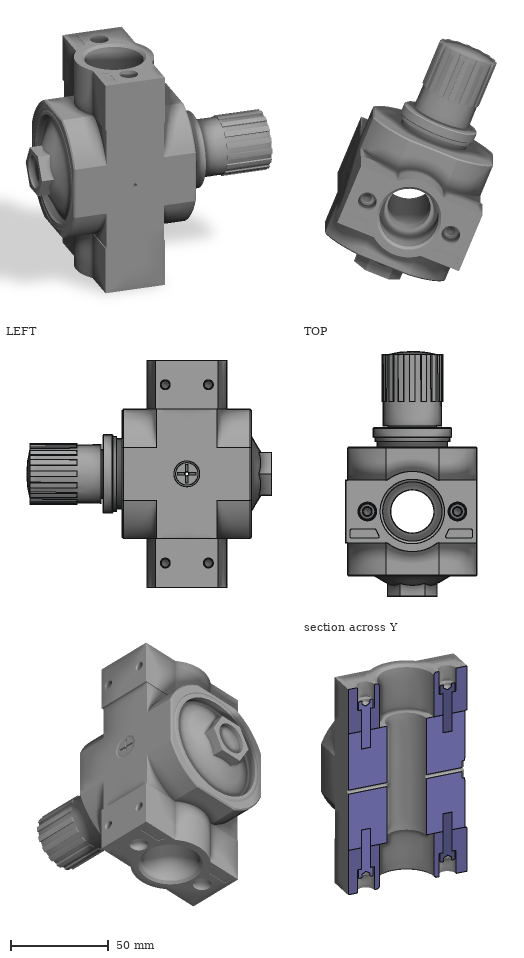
import cadquery as cq
import math


body_half = 33.0
block_half_depth = 15.5
drum_radius = 35.65
drum_chamfer = 0.7
bore_diameter = 22.0

port_diameter = 13.16
port_floor_diameter = 11.45
port_depth = 0.3
bleed_diameter = 2.0
slot_length = 9.4
slot_width = 1.2
slot_depth = 1.5

flange_thickness = 25.0
flange_top = body_half + flange_thickness
flange_left = -34.1
flange_right = body_half
flange_half_depth = 16.0
flange_boss_radius = 20.5
thread_diameter = 30.29
thread_mouth_diameter = 32.9
side_hole_y = 11.0
side_hole_diameter = 4.2
side_hole_mouth = 5.0
side_hole_depth = 10.0
drill_point_angle = 118.0

panel_depth = 0.2
panel_edge_inset = 2.3
panel_inner_x = 16.5
panel_slant = 2.2
panel_front_y = -13.5
panel_back_y = -9.0
panel_corner_radius = 0.8

screw_x = 23.0
screw_hole_diameter = 9.5
screw_head_diameter = 8.5
screw_head_height = 5.0
screw_head_chamfer = 0.4
screw_recess = 8.0
screw_shank_diameter = 5.0
screw_engagement = 10.0
socket_diameter = 4.2
socket_mouth = 5.0
socket_depth = 2.0

cap_radius = 30.6
cap_rim_outer_radius = 29.7
cap_rim_inner_radius = 28.1
cap_rim_chamfer_depth = 0.3
cap_seat_chamfer = 0.3
cap_back_y = -24.0
cone_slope = math.tan(math.radians(30))
cone_fillet = 0.8
hex_across_flats = 22.0
hex_end_y = -43.3
cone_y_at_hex_flat = -37.7
hex_hole_diameter = 17.0
hex_hole_depth = 3.5
hex_hole_fillet = 1.0

neck_radius = 18.0
neck_end_y = 35.8
spigot_diameter = 34.16
nut_bore_diameter = 34.38
nut_collar_radius = 19.2
nut_collar_end_y = 37.7
nut_radius = 20.0
nut_end_y = 42.9
nut_chamfer = 0.45
stem_diameter = 24.9
stem_end_y = 56.0
knob_start_y = 43.75
knob_shoulder_y = 80.1
knob_end_y = 81.7
knob_base_radius = 15.0
knob_shoulder_radius = 14.6
knob_dome_radius = 12.5
rib_count = 16
rib_start_y = 56.1
rib_width = 2.85
rib_tip_radius = 15.6


def cylinder_y(radius, y_start, y_end):
    """Cylinder about the Y axis between two Y positions."""
    return cq.Workplane("XZ", origin=(0, y_start, 0)).circle(radius).extrude(y_start - y_end)


def revolve_y(profile):
    """Turn a profile drawn as (radius, y) about the Y axis."""
    return profile.close().revolve(360, (0, 0, 0), (0, 1, 0))


def drilled_hole(diameter, mouth, depth):
    """Cutter for a blind hole down -Z with a 45 degree mouth chamfer and a drill point."""
    radius = diameter / 2
    mouth_radius = mouth / 2
    point = radius / math.tan(math.radians(drill_point_angle / 2))
    return (
        cq.Workplane("XZ")
        .lineTo(mouth_radius, 0)
        .lineTo(radius, radius - mouth_radius)
        .lineTo(radius, -depth)
        .lineTo(0, -depth - point)
        .close()
        .revolve(360, (0, 0, 0), (0, 1, 0))
    )


def make_gauge_port():
    """Cutter for the shallow conical port, its cross slots and the bleed hole along X."""
    side = -body_half
    floor = side + port_depth
    port = (
        cq.Workplane("YZ", origin=(side, 0, 0))
        .circle(port_diameter / 2)
        .workplane(offset=port_depth)
        .circle(port_floor_diameter / 2)
        .loft(ruled=True)
    )
    slots = cq.Workplane("YZ", origin=(floor, 0, 0)).rect(slot_length, slot_width).extrude(slot_depth)
    slots = slots.union(slots.rotate((0, 0, 0), (1, 0, 0), 90))
    bleed = cq.Workplane("YZ", origin=(side, 0, 0)).circle(bleed_diameter / 2).extrude(2 * body_half)
    return port.union(slots).union(bleed)


def make_housing():
    width = 2 * body_half
    block = cq.Workplane("XY").box(width, 2 * block_half_depth, width)
    drum = cylinder_y(drum_radius, -body_half, body_half)
    drum = drum.intersect(cq.Workplane("XY").box(width, width, width))
    drum = drum.faces("<Y or >Y").edges().chamfer(drum_chamfer)
    housing = block.union(drum)

    housing = housing.union(cylinder_y(neck_radius, body_half, neck_end_y))
    housing = housing.union(cylinder_y(spigot_diameter / 2, neck_end_y, nut_end_y))
    housing = housing.union(cylinder_y(stem_diameter / 2, nut_end_y, stem_end_y))

    housing = housing.cut(cylinder_y(cap_radius, -body_half, cap_back_y))
    seat_mouth = revolve_y(
        cq.Workplane("XY")
        .moveTo(0, -body_half)
        .lineTo(cap_radius + cap_seat_chamfer, -body_half)
        .lineTo(cap_radius, cap_seat_chamfer - body_half)
        .lineTo(0, cap_seat_chamfer - body_half)
    )
    housing = housing.cut(seat_mouth)

    bore = cq.Workplane("XY").circle(bore_diameter / 2).extrude(body_half, both=True)
    housing = housing.cut(bore).cut(make_gauge_port())
    screw_holes = (
        cq.Workplane("XY")
        .pushPoints([(-screw_x, 0), (screw_x, 0)])
        .circle(screw_shank_diameter / 2)
        .extrude(screw_engagement)
    )
    for start in (body_half - screw_engagement, -body_half):
        housing = housing.cut(screw_holes.translate((0, 0, start)))
    return housing


def make_label_panel(outer_x, side):
    """Cutter for one panel; side is -1 or +1 and tells where the panel lies from the bore."""
    inner_x = side * panel_inner_x
    return (
        cq.Workplane("XY", origin=(0, 0, flange_top - panel_depth))
        .moveTo(outer_x, panel_front_y)
        .lineTo(outer_x, panel_back_y)
        .lineTo(inner_x + side * panel_slant, panel_back_y)
        .lineTo(inner_x, panel_front_y)
        .close()
        .extrude(panel_depth)
        .edges("|Z")
        .fillet(panel_corner_radius)
    )


def make_flange():
    """Upper flange, resting on the top of the housing."""
    base = cq.Workplane("XY", origin=(0, 0, body_half))
    plate = base.center((flange_left + flange_right) / 2, 0)
    plate = plate.rect(flange_right - flange_left, 2 * flange_half_depth).extrude(flange_thickness)
    flange = plate.union(base.circle(flange_boss_radius).extrude(flange_thickness))

    flange = flange.cut(base.circle(thread_diameter / 2).extrude(flange_thickness))
    mouth_chamfer = (thread_mouth_diameter - thread_diameter) / 2
    flange = flange.edges(cq.selectors.RadiusNthSelector(0)).edges(">Z").chamfer(mouth_chamfer)

    screws = base.pushPoints([(-screw_x, 0), (screw_x, 0)])
    flange = flange.cut(screws.circle(screw_shank_diameter / 2).extrude(flange_thickness))
    seat_height = flange_thickness - screw_recess - screw_head_height
    head_holes = screws.circle(screw_hole_diameter / 2).extrude(flange_thickness)
    flange = flange.cut(head_holes.translate((0, 0, seat_height)))

    side_hole = drilled_hole(side_hole_diameter, side_hole_mouth, side_hole_depth)
    side_hole = side_hole.rotate((0, 0, 0), (0, 1, 0), -90)
    for y in (-side_hole_y, side_hole_y):
        flange = flange.cut(side_hole.translate((flange_left, y, body_half + flange_thickness / 2)))

    flange = flange.cut(make_label_panel(flange_left + panel_edge_inset, -1))
    return flange.cut(make_label_panel(flange_right - panel_edge_inset, 1))


def make_screw(x):
    """Upper flange screw with its head sunk in the flange."""
    head_top = flange_top - screw_recess
    seat = head_top - screw_head_height
    shank_length = seat - (body_half - screw_engagement)
    head = cq.Workplane("XY", origin=(x, 0, seat)).circle(screw_head_diameter / 2).extrude(screw_head_height)
    head = head.faces(">Z").edges().chamfer(screw_head_chamfer)
    shank = cq.Workplane("XY", origin=(x, 0, seat)).circle(screw_shank_diameter / 2).extrude(-shank_length)
    socket = drilled_hole(socket_diameter, socket_mouth, socket_depth).translate((x, 0, head_top))
    return head.union(shank).cut(socket)


def make_cap():
    """Dished cap with a central cone that carries a hexagon."""
    cone_top_radius = hex_across_flats / 2
    valley_y = cone_y_at_hex_flat + cone_slope * (cap_rim_inner_radius - cone_top_radius)
    cap = revolve_y(
        cq.Workplane("XY")
        .moveTo(0, cap_back_y)
        .lineTo(cap_radius, cap_back_y)
        .lineTo(cap_radius, cap_rim_chamfer_depth - body_half)
        .lineTo(cap_rim_outer_radius, -body_half)
        .lineTo(cap_rim_inner_radius, -body_half)
        .lineTo(cap_rim_inner_radius, valley_y)
        .lineTo(cone_top_radius, cone_y_at_hex_flat)
        .lineTo(0, cone_y_at_hex_flat)
    )
    valley_bottom = (-body_half, valley_y - cone_fillet, -body_half)
    valley_top = (body_half, valley_y + cone_fillet, body_half)
    valley = cq.selectors.BoxSelector(valley_bottom, valley_top, boundingbox=True)
    cap = cap.edges(valley).fillet(cone_fillet)

    hex_across_corners = hex_across_flats / math.cos(math.pi / 6)
    hexagon = cq.Workplane("XZ", origin=(0, cap_back_y, 0)).polygon(6, hex_across_corners)
    cap = cap.union(hexagon.extrude(cap_back_y - hex_end_y))
    hole = cylinder_y(hex_hole_diameter / 2, hex_end_y, hex_end_y + hex_hole_depth)
    return cap.cut(hole.faces(">Y").edges().fillet(hex_hole_fillet))


def make_nut():
    """Round nut with a narrower collar toward the housing."""
    collar = cylinder_y(nut_collar_radius, neck_end_y, nut_collar_end_y)
    ring = cylinder_y(nut_radius, nut_collar_end_y, nut_end_y).edges().chamfer(nut_chamfer)
    return collar.union(ring).cut(cylinder_y(nut_bore_diameter / 2, neck_end_y, nut_end_y))


def make_knob():
    """Slightly tapered, domed knob with straight grip ribs, bored for the bonnet stem."""
    dome_height = knob_end_y - knob_shoulder_y
    sphere_radius = (knob_dome_radius**2 + dome_height**2) / (2 * dome_height)
    arc_x = knob_dome_radius / 2
    arc_y = knob_end_y - sphere_radius + math.sqrt(sphere_radius**2 - arc_x**2)
    knob = revolve_y(
        cq.Workplane("XY")
        .moveTo(0, knob_start_y)
        .lineTo(knob_base_radius, knob_start_y)
        .lineTo(knob_shoulder_radius, knob_shoulder_y)
        .lineTo(knob_dome_radius, knob_shoulder_y)
        .threePointArc((arc_x, arc_y), (0, knob_end_y))
    )
    rib_blank = cylinder_y(rib_tip_radius, rib_start_y, knob_shoulder_y)
    bar_length = knob_shoulder_y - rib_start_y
    bar = cq.Workplane("XY").box(rib_width, bar_length, rib_tip_radius, centered=(True, False, False))
    bar = bar.translate((0, rib_start_y, 0))
    for index in range(rib_count):
        rib = bar.rotate((0, 0, 0), (0, 1, 0), index * 360 / rib_count)
        knob = knob.union(rib.intersect(rib_blank))
    return knob.cut(cylinder_y(stem_diameter / 2, knob_start_y, stem_end_y))


housing = make_housing()
cap = make_cap()
nut = make_nut()
knob = make_knob()

upper_flange = make_flange()
upper_screws = [make_screw(x) for x in (-screw_x, screw_x)]
upper_set = [upper_flange, *upper_screws]
lower_set = [body.mirror("XY") for body in upper_set]
connections = [body.val() for body in upper_set + lower_set]

result = cq.Compound.makeCompound([housing.val(), cap.val(), nut.val(), knob.val(), *connections])